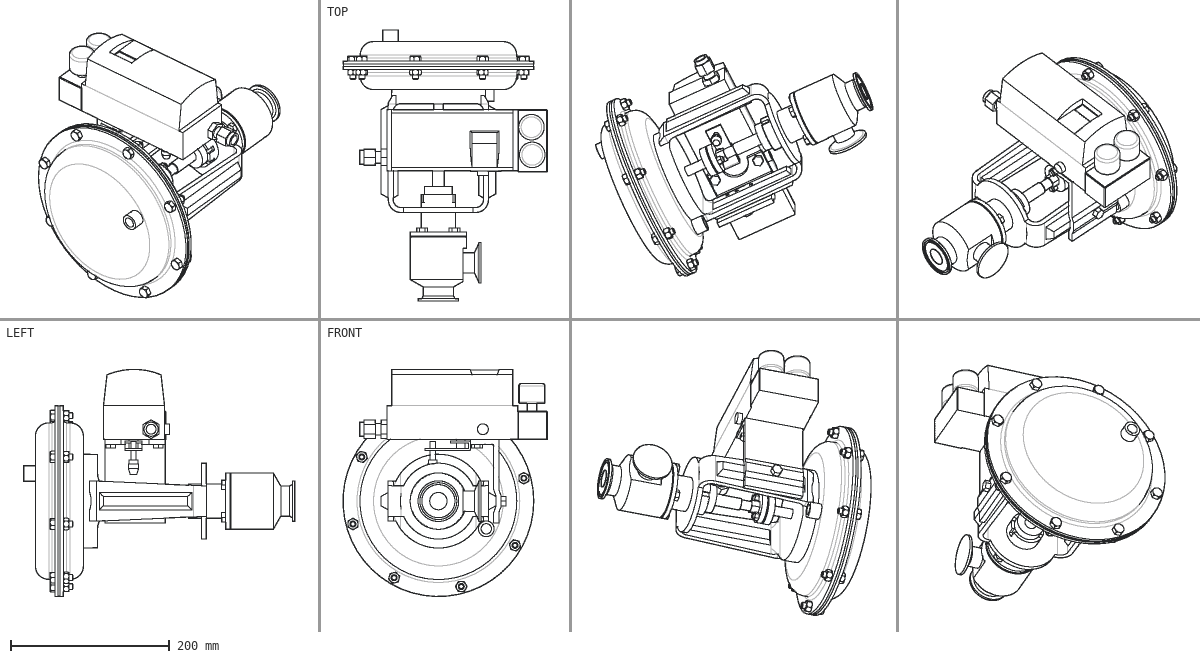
import cadquery as cq
import math


flange_radius = 120.5
flange_thickness = 10.5
flange_half_thickness = flange_thickness / 2
diaphragm_half_thickness = 1.5
diaphragm_inset = 0.5
dome_radius = 99.0
back_dome_height = 30.0
front_dome_height = 30.8
dome_edge_radius = 17.0
dome_root_radius = 3.8

port_circle_radius = 69.8
port_angle = 150
port_radius = 10.0
port_bore_radius = 6.5
port_length = 14.7

flange_bolt_count = 8
flange_bolt_first_angle = 15
flange_bolt_circle_radius = 111.5
flange_bolt_hex = 14.7
flange_bolt_head_height = 6.0
flange_bolt_nut_height = 7.2
flange_bolt_shank_radius = 3.8
flange_bolt_stick_out = 5.0
flange_bolt_end_chamfer = 1.0
flange_bolt_nut_turn = 15
hex_bevel_depth = 1.7

neck_radius = 59.2
neck_front = -48.5
arm_outer = 63.3
arm_thickness = 6.5
arm_inner = arm_outer - arm_thickness
arm_bend_radius = 16.5
arm_root_back = -38.0
arm_root_outer = 57.8
arm_root_inner = 47.5
arm_straight_back = -47.2
arm_root_half_height = 25.3
arm_end_half_height = 19.0
yoke_front = -185.7
yoke_disc_radius = 48.0
outer_rib_back = -50.5
inner_rib_back = -58.0
rib_front = -167.3
rib_half_height = 11.0
rib_slope_angle = 29
outer_rib_height = 9.2
inner_rib_height = 6.0
arm_hole_radius = 2.0
arm_hole_places = [-81.5, -94.5, -114.2]

stem_radius = 6.0
lower_stem_radius = 7.5
lower_stem_back = -116.5
coupling_radius = 18.8
coupling_back = -75.5
coupling_front = -92.7
coupling_groove_middle = -84.8
coupling_groove_width = 1.5
coupling_groove_depth = 1.7
coupling_nut_hex = 17.0
coupling_nut_height = 10.3
coupling_bolt_offset = 14.0
coupling_bolt_hex = 10.5
coupling_bolt_head_height = 5.0
coupling_bolt_shank_radius = 3.5
coupling_bolt_stick_out = 2.5

cap_radius = 17.8
cap_back = -152.5
bonnet_radius = 22.0
bonnet_back = -162.8
bonnet_slot_angle = 25
bonnet_slot_width = 5.5
bonnet_slot_length = 10.0
body_radius = 35.5
body_back = -210.0
body_groove_back = -215.5
body_groove_width = 1.0
body_groove_depth = 1.0
cone_back = -270.2
cone_front = -279.5
body_flat = 31.0
body_flat_back = -231.0
inlet_radius = 19.0
flare_back = -290.7
flare_radius = 21.2
ferrule_back = -294.0
ferrule_front = -297.2
ferrule_radius = 25.5
gasket_groove_inner = 21.0
gasket_groove_outer = 23.3
gasket_groove_depth = 1.0
inlet_recess_radius = 11.0
inlet_recess_depth = 0.7
bonnet_bolt_offset = 20.5
bonnet_bolt_hex = 13.7
bonnet_bolt_head_height = 5.0
outlet_place = -249.0
outlet_radius = 13.0
outlet_flare_start = 45.5
outlet_flare_end = 50.0
outlet_flare_radius = 22.5
outlet_rim_start = 51.0
outlet_end = 54.0

housing_left = -65.0
housing_right = 100.2
housing_back = -55.8
housing_front = -133.0
housing_bottom = 78.0
housing_top = 120.5
lid_inset = 6.0
lid_shoulder = 159.5
lid_crown = 166.2
lid_shoulder_inset = 4.5
lid_middle = -93.7

window_left = 42.5
window_right = 74.2
window_back = -84.8
window_step = -99.0
window_floor = lid_shoulder
window_step_depth = 1.7
window_slope_angle = 20
window_cutter_rise = 1.7

fitting_place = -116.0
fitting_level = 90.5
fitting_hex = 23.5
fitting_flange_end = -72.0
fitting_nut_start = -79.5
fitting_nut_end = -94.0
fitting_end = -99.2
fitting_neck_radius = 7.5
fitting_tip_radius = 9.0
fitting_bore_radius = 6.0

plug_x = 56.0
plug_radius = 7.0
plug_length = 6.0

manifold_end = 137.5
manifold_front = -134.8
manifold_top = 113.5
manifold_edge_chamfer = 1.0
gauge_places = [(117.3, -78.0), (118.5, -113.0)]
gauge_radius = 16.0
gauge_bottom = 123.0
gauge_top = 148.5
gauge_top_fillet = 3.0
gauge_bottom_fillet = 1.7
gauge_stem_radius = 5.8

bracket_back = -57.8
bracket_front = -134.0
bracket_left = 40.7
bracket_outer = 76.3
bracket_thickness = 6.5
bracket_bottom = -27.7
bracket_bulge_half_height = 14.5
bracket_bulge_flat_half_height = 7.0
bracket_bulge_inner = arm_outer + outer_rib_height
bracket_notch_radius = 17.8
bracket_notch_place = -95.8
bracket_screw_place = -94.5
bracket_screw_hex = 13.7
bracket_screw_head_height = 6.5
flange_screw_head_height = 4.8
flange_screw_x = 49.0
flange_screw_places = [-65.0, -125.2]

lever_place = -93.7
lever_width = 21.0
lever_left = -16.8
lever_right = 40.7
lever_short_left = 15.5
lever_bottom = 63.5
lever_top = 76.0
lever_thickness = 2.7
lever_bend_radius = 2.5
lever_shaft_x = 28.0
lever_shaft_radius = 5.5
pin_x = -7.2
pin_radius = 3.25
pin_top = 75.2
pin_head_top = 52.0
pin_head_radius = 5.5
pin_collar_radius = 6.5
pin_collar_top = 46.5
pin_collar_bottom = 41.0
pin_tip_radius = 4.0
pin_bottom = 34.0


def rod(radius, back, front, x=0, z=0):
    """Cylinder along Y between two places."""
    return cq.Workplane("XZ", origin=(x, back, z)).circle(radius).extrude(back - front)


def hexagon(across_corners, back, front, x=0, z=0, turn=0):
    """Hexagonal prism along Y; turn is the angle of one corner from +X."""
    prism = cq.Workplane("XZ").polygon(6, across_corners).extrude(back - front)
    return prism.rotate((0, 0, 0), (0, 1, 0), -turn).translate((x, back, z))


def box(x_range, y_range, z_range):
    """Block between pairs of limits along each axis."""
    sizes = [abs(high - low) for low, high in (x_range, y_range, z_range)]
    corner = (min(x_range), min(y_range), min(z_range))
    return cq.Workplane("XY").box(*sizes, centered=False).translate(corner)


def make_shell(dome_height):
    """Domed shell with its half of the flange, standing toward +Y on the diaphragm plane."""
    flat_radius = dome_radius - dome_edge_radius
    arc_end = dome_height - dome_edge_radius
    root_start = flange_half_thickness + dome_root_radius
    edge_mid = dome_edge_radius * math.sqrt(0.5)
    root_mid = dome_root_radius * (1 - math.sqrt(0.5))
    return (
        cq.Workplane("XY")
        .moveTo(0, 0)
        .lineTo(0, dome_height)
        .lineTo(flat_radius, dome_height)
        .threePointArc((flat_radius + edge_mid, arc_end + edge_mid), (dome_radius, arc_end))
        .lineTo(dome_radius, root_start)
        .threePointArc(
            (dome_radius + root_mid, flange_half_thickness + root_mid),
            (dome_radius + dome_root_radius, flange_half_thickness),
        )
        .lineTo(flange_radius, flange_half_thickness)
        .lineTo(flange_radius, diaphragm_half_thickness)
        .lineTo(flange_radius - diaphragm_inset, diaphragm_half_thickness)
        .lineTo(flange_radius - diaphragm_inset, 0)
        .close()
        .revolve(360, (0, 0, 0), (0, 1, 0))
    )


def make_casing():
    """Two domed shells clamped together at a flange, with the diaphragm in between."""
    return make_shell(back_dome_height).union(make_shell(front_dome_height).mirror("XZ"))


def make_port(angle, face, tip):
    """Air connection on a dome, reaching along Y from the dome face to its tip."""
    x = port_circle_radius * math.cos(math.radians(angle))
    z = port_circle_radius * math.sin(math.radians(angle))
    return rod(port_radius, face, tip, x, z).cut(rod(port_bore_radius, face, tip, x, z))


def beveled_hexagon(across_corners, back, front, x, z, turn):
    """Hexagonal prism along Y whose corners are beveled at both ends."""
    corner = across_corners / 2
    flat = corner * math.cos(math.pi / 6)
    blank = (
        cq.Workplane("XY")
        .polyline([
            (0, back),
            (flat, back),
            (corner, back - hex_bevel_depth),
            (corner, front + hex_bevel_depth),
            (flat, front),
            (0, front),
        ])
        .close()
        .revolve(360, (0, 0, 0), (0, 1, 0))
        .translate((x, 0, z))
    )
    return hexagon(across_corners, back, front, x, z, turn).intersect(blank)


def make_flange_bolt(angle):
    """Hex bolt and nut through the diaphragm flange."""
    x = flange_bolt_circle_radius * math.cos(math.radians(angle))
    z = flange_bolt_circle_radius * math.sin(math.radians(angle))
    head_end = flange_half_thickness + flange_bolt_head_height
    nut_end = -flange_half_thickness - flange_bolt_nut_height
    head = beveled_hexagon(flange_bolt_hex, head_end, 0, x, z, angle)
    nut_turn = angle + flange_bolt_nut_turn
    nut = beveled_hexagon(flange_bolt_hex, -flange_half_thickness, nut_end, x, z, nut_turn)
    shank = rod(flange_bolt_shank_radius, 0, nut_end - flange_bolt_stick_out, x, z)
    shank = shank.faces("<Y").chamfer(flange_bolt_end_chamfer)
    return head.union(nut).union(shank)


def make_arm():
    """Yoke arm on the +X side, from the neck to the yoke disc, with a rib on each face."""
    bend_x = arm_outer - arm_bend_radius
    bend_y = yoke_front + arm_bend_radius
    inner_bend = arm_bend_radius - arm_thickness
    diagonal = math.sqrt(0.5)
    disc_back = yoke_front + arm_thickness
    disc_inside = yoke_disc_radius / 2
    root_fillet = arm_inner - arm_root_inner
    strap = (
        cq.Workplane("XY")
        .moveTo(arm_root_outer, arm_root_back)
        .lineTo(arm_outer, arm_straight_back)
        .lineTo(arm_outer, bend_y)
        .threePointArc(
            (bend_x + arm_bend_radius * diagonal, bend_y - arm_bend_radius * diagonal),
            (bend_x, yoke_front),
        )
        .lineTo(disc_inside, yoke_front)
        .lineTo(disc_inside, disc_back)
        .lineTo(bend_x, disc_back)
        .threePointArc(
            (bend_x + inner_bend * diagonal, bend_y - inner_bend * diagonal),
            (arm_inner, bend_y),
        )
        .lineTo(arm_inner, neck_front - root_fillet)
        .threePointArc(root_fillet_middle(), (arm_root_inner, neck_front))
        .lineTo(arm_root_inner, arm_root_back)
        .close()
        .extrude(arm_root_half_height, both=True)
    )
    side_outline = (
        cq.Workplane("YZ")
        .polyline([
            (arm_root_back, arm_root_half_height),
            (neck_front, arm_root_half_height),
            (yoke_front, arm_end_half_height),
            (yoke_front, -arm_end_half_height),
            (neck_front, -arm_root_half_height),
            (arm_root_back, -arm_root_half_height),
        ])
        .close()
        .extrude(arm_outer)
    )
    arm = strap.intersect(side_outline)
    outer_rib = make_rib(arm_outer, outer_rib_back, outer_rib_height)
    inner_rib = make_rib(arm_inner, inner_rib_back, -inner_rib_height)
    return arm.union(outer_rib).union(inner_rib)


def root_fillet_middle():
    """Middle point of the concave arc from the neck face to the inner face of the arm."""
    radius = arm_inner - arm_root_inner
    reach = radius * math.sqrt(0.5)
    return (arm_root_inner + reach, neck_front - radius + reach)


def make_neck_pad():
    """Rounded end of the neck on the +X side, rising to the inner face of the arm."""
    pad_front = neck_front - (arm_inner - arm_root_inner)
    wedge = (
        cq.Workplane("XY")
        .moveTo(arm_root_inner, neck_front)
        .threePointArc(root_fillet_middle(), (arm_inner, pad_front))
        .lineTo(neck_radius, pad_front)
        .lineTo(neck_radius, neck_front)
        .close()
        .extrude(neck_radius, both=True)
    )
    return wedge.intersect(rod(neck_radius, neck_front, pad_front))


def make_rib(face, back, height):
    """Rib with sloping sides on an arm face; a negative height points toward the stem."""
    return (
        cq.Workplane("YZ", origin=(face, (back + rib_front) / 2, 0))
        .rect(back - rib_front, 2 * rib_half_height)
        .extrude(height, taper=rib_slope_angle)
    )


def make_yoke():
    """Neck, both arms and the disc that carries the bonnet."""
    right_arm = make_arm()
    left_arm = right_arm.mirror("YZ")
    for place in arm_hole_places:
        hole = cq.Workplane("YZ", origin=(0, place, 0)).circle(arm_hole_radius)
        right_arm = right_arm.cut(hole.extrude(arm_outer + outer_rib_height))
    neck = rod(neck_radius, 0, neck_front)
    right_pad = make_neck_pad()
    neck = neck.union(right_pad).union(right_pad.mirror("YZ"))
    disc = rod(yoke_disc_radius, yoke_front + arm_thickness, yoke_front)
    return neck.union(right_arm).union(left_arm).union(disc)


def make_stem():
    """Stem with its two-part bolted coupling."""
    groove_back = coupling_groove_middle + coupling_groove_width / 2
    groove_front = coupling_groove_middle - coupling_groove_width / 2
    stem = rod(stem_radius, neck_front, lower_stem_back)
    stem = stem.union(rod(lower_stem_radius, lower_stem_back, cap_back))
    stem = stem.union(rod(coupling_radius, coupling_back, groove_back))
    stem = stem.union(rod(coupling_radius - coupling_groove_depth, groove_back, groove_front))
    stem = stem.union(rod(coupling_radius, groove_front, coupling_front))
    nut_front = coupling_front - coupling_nut_height
    stem = stem.union(hexagon(coupling_nut_hex, coupling_front, nut_front, turn=90))
    head_front = coupling_front - coupling_bolt_head_height
    shank_front = head_front - coupling_bolt_stick_out
    for z in (coupling_bolt_offset, -coupling_bolt_offset):
        stem = stem.union(hexagon(coupling_bolt_hex, coupling_front, head_front, z=z))
        stem = stem.union(rod(coupling_bolt_shank_radius, coupling_front, shank_front, z=z))
    return stem


def make_bonnet():
    """Capped bonnet through the yoke disc, with wrench slots and bolts on the valve body."""
    bonnet = rod(cap_radius, cap_back, bonnet_back).union(rod(bonnet_radius, bonnet_back, body_back))
    slot_front = bonnet_back - bonnet_slot_length
    slot_half_width = bonnet_slot_width / 2
    slot = box(
        (cap_radius, bonnet_radius), (bonnet_back, slot_front), (-slot_half_width, slot_half_width)
    )
    for angle in (bonnet_slot_angle, 180 - bonnet_slot_angle, 180 + bonnet_slot_angle, -bonnet_slot_angle):
        bonnet = bonnet.cut(slot.rotate((0, 0, 0), (0, 1, 0), angle))
    head_back = body_back + bonnet_bolt_head_height
    for x in (bonnet_bolt_offset, -bonnet_bolt_offset):
        for z in (bonnet_bolt_offset, -bonnet_bolt_offset):
            bonnet = bonnet.union(hexagon(bonnet_bolt_hex, head_back, body_back, x, z))
    return bonnet


def make_valve_body():
    """Angle valve body with an inlet ferrule on the stem axis and an outlet ferrule at +X."""
    groove_front = body_groove_back - body_groove_width
    groove_radius = body_radius - body_groove_depth
    body = (
        cq.Workplane("XY")
        .polyline([
            (0, body_back),
            (body_radius, body_back),
            (body_radius, body_groove_back),
            (groove_radius, body_groove_back),
            (groove_radius, groove_front),
            (body_radius, groove_front),
            (body_radius, cone_back),
            (inlet_radius, cone_front),
            (inlet_radius, flare_back),
            (flare_radius, ferrule_back),
            (ferrule_radius, ferrule_back),
            (ferrule_radius, ferrule_front),
            (gasket_groove_outer, ferrule_front),
            (gasket_groove_outer, ferrule_front + gasket_groove_depth),
            (gasket_groove_inner, ferrule_front + gasket_groove_depth),
            (gasket_groove_inner, ferrule_front),
            (inlet_recess_radius, ferrule_front),
            (inlet_recess_radius, ferrule_front + inlet_recess_depth),
            (0, ferrule_front + inlet_recess_depth),
        ])
        .close()
        .revolve(360, (0, 0, 0), (0, 1, 0))
    )
    flat_cut = box(
        (body_flat, body_radius), (body_flat_back, cone_front), (-body_radius, body_radius)
    )
    outlet = (
        cq.Workplane("XY", origin=(0, outlet_place, 0))
        .polyline([
            (0, 0),
            (0, outlet_radius),
            (outlet_flare_start, outlet_radius),
            (outlet_flare_end, outlet_flare_radius),
            (outlet_rim_start, ferrule_radius),
            (outlet_end, ferrule_radius),
            (outlet_end, 0),
        ])
        .close()
        .revolve(360, (0, 0, 0), (1, 0, 0))
    )
    return body.cut(flat_cut).union(outlet)


def make_control_valve():
    """Actuator, yoke, stem and valve as one solid."""
    valve = make_casing()
    back_port_tip = back_dome_height + port_length
    front_port_tip = -front_dome_height - port_length
    valve = valve.union(make_port(port_angle, back_dome_height, back_port_tip))
    valve = valve.union(make_port(port_angle + 180, -front_dome_height, front_port_tip))
    for number in range(flange_bolt_count):
        angle = flange_bolt_first_angle + number * 360 / flange_bolt_count
        valve = valve.union(make_flange_bolt(angle))
    for piece in (make_yoke(), make_stem(), make_bonnet(), make_valve_body()):
        valve = valve.union(piece)
    return valve


def make_housing():
    """Positioner box under a crowned lid with tapering sides."""
    base = box(
        (housing_left, housing_right), (housing_front, housing_back), (housing_bottom, housing_top)
    )
    lid = (
        cq.Workplane("YZ", origin=(housing_left + lid_inset, 0, 0))
        .moveTo(housing_front, housing_top)
        .lineTo(housing_front + lid_shoulder_inset, lid_shoulder)
        .threePointArc((lid_middle, lid_crown), (housing_back - lid_shoulder_inset, lid_shoulder))
        .lineTo(housing_back, housing_top)
        .close()
        .extrude(housing_right - housing_left - 2 * lid_inset)
    )
    return base.union(lid.cut(make_window()))


def make_window():
    """Cutter for the lid window: flared walls above a stepped floor, open toward -Y."""
    cutter_top = lid_crown + window_cutter_rise
    flare = (cutter_top - window_floor) * math.tan(math.radians(window_slope_angle))
    deep_floor = window_floor - window_step_depth
    across = (
        cq.Workplane("XZ", origin=(0, housing_back, 0))
        .polyline([
            (window_left - flare, cutter_top),
            (window_left, window_floor),
            (window_left, deep_floor),
            (window_right, deep_floor),
            (window_right, window_floor),
            (window_right + flare, cutter_top),
        ])
        .close()
        .extrude(housing_back - housing_front)
    )
    along = (
        cq.Workplane("YZ", origin=(window_left - flare, 0, 0))
        .polyline([
            (window_back + flare, cutter_top),
            (window_back, window_floor),
            (window_back, deep_floor),
            (window_step, deep_floor),
            (window_step, window_floor),
            (housing_front, window_floor),
            (housing_front, cutter_top),
        ])
        .close()
        .extrude(window_right - window_left + 2 * flare)
    )
    return across.intersect(along)


def make_fitting():
    """Tube fitting on the -X end of the housing."""
    def at(x):
        return cq.Workplane("YZ", origin=(x, fitting_place, fitting_level))

    def hex_part(start, end):
        return at(start).transformed(rotate=(0, 0, 90)).polygon(6, fitting_hex).extrude(end - start)

    fitting = hex_part(housing_left, fitting_flange_end)
    neck_length = fitting_nut_start - fitting_flange_end
    fitting = fitting.union(at(fitting_flange_end).circle(fitting_neck_radius).extrude(neck_length))
    fitting = fitting.union(hex_part(fitting_nut_start, fitting_nut_end))
    tip = at(fitting_nut_end).circle(fitting_tip_radius).extrude(fitting_end - fitting_nut_end)
    bore = at(fitting_end).circle(fitting_bore_radius).extrude(housing_left - fitting_end)
    return fitting.union(tip).cut(bore)


def make_manifold():
    """Gauge block on the +X end of the housing with two pressure gauges on top."""
    block = box(
        (housing_right, manifold_end), (manifold_front, housing_back), (housing_bottom, manifold_top)
    )
    block = block.edges("|Z or >Z").chamfer(manifold_edge_chamfer)
    for place in gauge_places:
        stem = cq.Workplane("XY", origin=(*place, manifold_top)).circle(gauge_stem_radius)
        gauge = cq.Workplane("XY", origin=(*place, gauge_bottom)).circle(gauge_radius)
        gauge = gauge.extrude(gauge_top - gauge_bottom)
        gauge = gauge.faces(">Z").edges().fillet(gauge_top_fillet)
        gauge = gauge.faces("<Z").edges().fillet(gauge_bottom_fillet)
        block = block.union(stem.extrude(gauge_bottom - manifold_top)).union(gauge)
    return block


def make_bracket():
    """Angle plate from the housing bottom down to the yoke arm, bulged over the arm's rib."""
    inner = bracket_outer - bracket_thickness
    bulge_outer = bracket_bulge_inner + bracket_thickness
    flange_bottom = housing_bottom - bracket_thickness
    bulge = bracket_bulge_half_height
    flat = bracket_bulge_flat_half_height
    plate = (
        cq.Workplane("XZ", origin=(0, bracket_back, 0))
        .polyline([
            (bracket_left, housing_bottom),
            (bracket_outer, housing_bottom),
            (bracket_outer, bulge),
            (bulge_outer, flat),
            (bulge_outer, -flat),
            (bracket_outer, -bulge),
            (bracket_outer, bracket_bottom),
            (inner, bracket_bottom),
            (inner, -bulge),
            (bracket_bulge_inner, -flat),
            (bracket_bulge_inner, flat),
            (inner, bulge),
            (inner, flange_bottom),
            (bracket_left, flange_bottom),
        ])
        .close()
        .extrude(bracket_back - bracket_front)
    )
    notch = (
        cq.Workplane("XY", origin=(bracket_left, bracket_notch_place, flange_bottom))
        .circle(bracket_notch_radius)
        .extrude(bracket_thickness)
    )
    plate = plate.cut(notch)
    arm_screw = cq.Workplane("YZ", origin=(bulge_outer, bracket_screw_place, 0))
    plate = plate.union(arm_screw.polygon(6, bracket_screw_hex).extrude(bracket_screw_head_height))
    for place in flange_screw_places:
        screw = cq.Workplane("XY", origin=(flange_screw_x, place, flange_bottom))
        plate = plate.union(screw.polygon(6, bracket_screw_hex).extrude(-flange_screw_head_height))
    return plate


def make_lever():
    """U-shaped feedback lever on its shaft, with the follower pin at the free end."""
    width = (lever_place - lever_width / 2, lever_place + lever_width / 2)
    lever = box((lever_left, lever_right), width, (lever_bottom, lever_bottom + lever_thickness))
    lever = lever.union(
        box((lever_short_left, lever_right), width, (lever_top - lever_thickness, lever_top))
    )
    lever = lever.union(
        box((lever_right - lever_thickness, lever_right), width, (lever_bottom, lever_top))
    )
    lever = lever.edges("|Y and >X").fillet(lever_bend_radius)
    shaft = cq.Workplane("XY", origin=(lever_shaft_x, lever_place, lever_bottom))
    shaft = shaft.circle(lever_shaft_radius).extrude(housing_bottom - lever_bottom)
    pin = (
        cq.Workplane("XZ")
        .polyline([
            (0, pin_top),
            (pin_radius, pin_top),
            (pin_radius, pin_head_top),
            (pin_head_radius, pin_head_top),
            (pin_head_radius, pin_collar_top),
            (pin_collar_radius, pin_collar_top),
            (pin_collar_radius, pin_collar_bottom),
            (pin_tip_radius, pin_bottom),
            (0, pin_bottom),
        ])
        .close()
        .revolve(360, (0, 0, 0), (0, 1, 0))
        .translate((pin_x, lever_place, 0))
    )
    return lever.union(shaft).union(pin)


def make_positioner():
    """Positioner with its bracket, lever and fittings as one solid."""
    plug = rod(plug_radius, housing_front, housing_front - plug_length, plug_x, fitting_level)
    positioner = make_housing().union(plug)
    for piece in (make_fitting(), make_manifold(), make_bracket(), make_lever()):
        positioner = positioner.union(piece)
    return positioner


control_valve = make_control_valve()
positioner = make_positioner()

result = cq.Compound.makeCompound([control_valve.solids().val(), positioner.solids().val()])